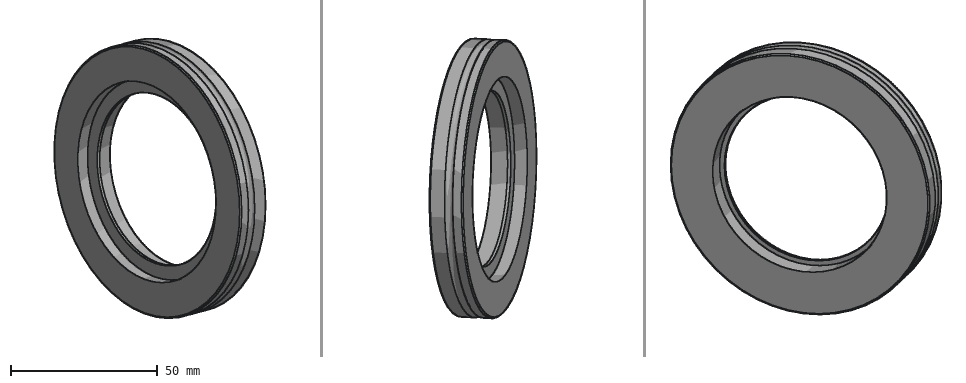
import cadquery as cq

outer_diameter = 95
thickness = 12.0
edge_chamfer = 0.5

counterbore_diameter = 70.0
counterbore_depth = 4.5
lip_diameter = 60.2
lip_width = 1.1
rear_bore_diameter = 63.7

groove_radius = 1.4
groove_from_front = 5.0

outer_radius = outer_diameter / 2
front_y = -thickness / 2
rear_y = thickness / 2
counterbore_floor_y = front_y + counterbore_depth
lip_rear_y = counterbore_floor_y + lip_width
groove_y = front_y + groove_from_front


def ring_profile():
    """Half section in the XY plane: X is the radius, Y the ring axis."""
    return (
        cq.Workplane("XY")
        .moveTo(counterbore_diameter / 2, front_y)
        .lineTo(outer_radius - edge_chamfer, front_y)
        .lineTo(outer_radius, front_y + edge_chamfer)
        .lineTo(outer_radius, groove_y - groove_radius)
        .threePointArc((outer_radius - groove_radius, groove_y), (outer_radius, groove_y + groove_radius))
        .lineTo(outer_radius, rear_y - edge_chamfer)
        .lineTo(outer_radius - edge_chamfer, rear_y)
        .lineTo(rear_bore_diameter / 2, rear_y)
        .lineTo(rear_bore_diameter / 2, lip_rear_y)
        .lineTo(lip_diameter / 2, lip_rear_y)
        .lineTo(lip_diameter / 2, counterbore_floor_y)
        .lineTo(counterbore_diameter / 2, counterbore_floor_y)
        .close()
    )


result = ring_profile().revolve(360, (0, 0, 0), (0, 1, 0))